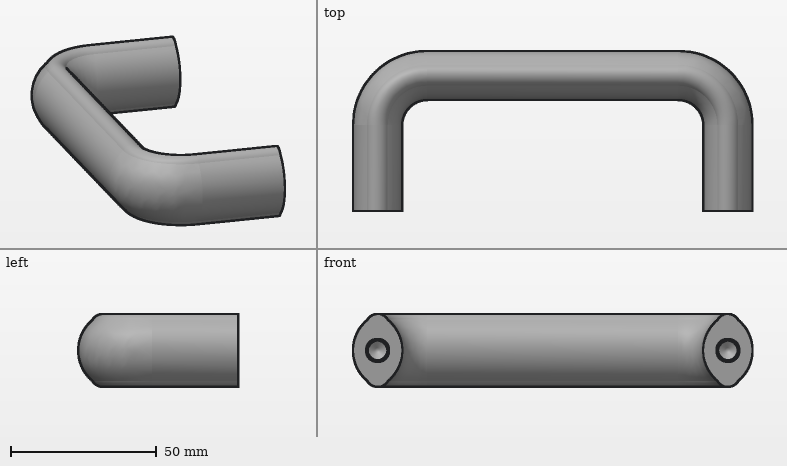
import cadquery as cq
import math

length = 137.0
depth = 54.9
height = 25.0

bar_width = 17.0
crest_half_width = 3.5
crest_rise = 2.0

bend_radius = bar_width

hole_diameter = 6.7
countersink_diameter = 8.0
hole_depth = 15.0
drill_point_angle = 118.0

leg_x = (length - bar_width) / 2
back_y = depth - bar_width / 2
crest_z = height / 2 - crest_rise


def make_bar():
    """Sweep the section along one leg, the grip and the other leg."""
    bend_offset = bend_radius * (1 - math.sqrt(0.5))
    path = (
        cq.Workplane("XY")
        .moveTo(-leg_x, 0)
        .lineTo(-leg_x, back_y - bend_radius)
        .threePointArc(
            (-leg_x + bend_offset, back_y - bend_offset),
            (-leg_x + bend_radius, back_y),
        )
        .lineTo(leg_x - bend_radius, back_y)
        .threePointArc(
            (leg_x - bend_offset, back_y - bend_offset),
            (leg_x, back_y - bend_radius),
        )
        .lineTo(leg_x, 0)
    )
    section = (
        cq.Workplane("XZ", origin=(-leg_x, 0, 0))
        .moveTo(crest_half_width, -crest_z)
        .threePointArc((bar_width / 2, 0), (crest_half_width, crest_z))
        .threePointArc((0, height / 2), (-crest_half_width, crest_z))
        .threePointArc((-bar_width / 2, 0), (-crest_half_width, -crest_z))
        .threePointArc((0, -height / 2), (crest_half_width, -crest_z))
        .close()
    )
    return section.sweep(path)


def make_hole(x):
    """Blind drilled hole with a 45 degree countersink and a conical bottom."""
    hole_radius = hole_diameter / 2
    countersink_radius = countersink_diameter / 2
    countersink_depth = countersink_radius - hole_radius
    point_depth = hole_radius / math.tan(math.radians(drill_point_angle / 2))
    return (
        cq.Workplane("XY", origin=(x, 0, 0))
        .lineTo(countersink_radius, 0)
        .lineTo(hole_radius, countersink_depth)
        .lineTo(hole_radius, hole_depth)
        .lineTo(0, hole_depth + point_depth)
        .close()
        .revolve(360, (0, 0, 0), (0, 1, 0))
    )


result = make_bar()
for hole_x in (-leg_x, leg_x):
    result = result.cut(make_hole(hole_x))